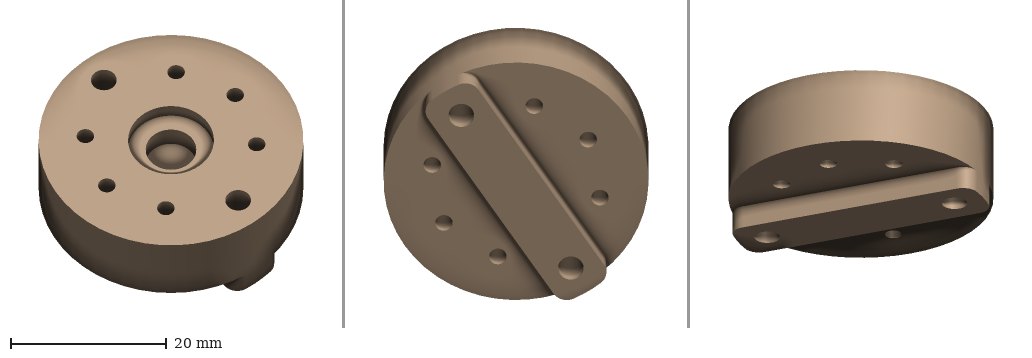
import cadquery as cq
import math

disc_diameter = 34.0
disc_height = 10.05

key_width = 7.7
key_height = 3.03
key_corner_radius = 2.0

counterbore_diameter = 11.0
counterbore_depth = 2.0
bore_diameter = 6.5
bore_depth = 5.0

small_hole_diameter = 2.25
small_hole_circle_radius = 11.0
small_hole_angles = [45, 90, 135, 225, 270, 315]

large_hole_diameter = 3.3
large_hole_offset = 13.0


def make_cylinder():
    """Full-height cylinder with its seam turned to the -X side."""
    total_height = disc_height + key_height
    cylinder = cq.Workplane("XY").workplane(offset=-key_height)
    cylinder = cylinder.circle(disc_diameter / 2).extrude(total_height)
    return cylinder.rotate((0, 0, 0), (0, 0, 1), 180)


def make_key_relief():
    """Material around the key, removed from below the disc to leave the key standing.

    Each corner arc is tangent to the key's flat side and to the disc rim.
    """
    rim_radius = disc_diameter / 2
    arc_center_y = key_width / 2 - key_corner_radius
    center_distance = rim_radius - key_corner_radius
    arc_center_x = math.sqrt(center_distance**2 - arc_center_y**2)
    rim_x = rim_radius * arc_center_x / center_distance
    rim_y = rim_radius * arc_center_y / center_distance

    middle_angle = (math.atan2(arc_center_y, arc_center_x) + math.pi / 2) / 2
    middle_x = arc_center_x + key_corner_radius * math.cos(middle_angle)
    middle_y = arc_center_y + key_corner_radius * math.sin(middle_angle)

    side = (
        cq.Workplane("XY")
        .moveTo(-arc_center_x, key_width / 2)
        .lineTo(arc_center_x, key_width / 2)
        .threePointArc((middle_x, middle_y), (rim_x, rim_y))
        .lineTo(disc_diameter, rim_y)
        .lineTo(disc_diameter, disc_diameter)
        .lineTo(-disc_diameter, disc_diameter)
        .lineTo(-disc_diameter, rim_y)
        .lineTo(-rim_x, rim_y)
        .threePointArc((-middle_x, middle_y), (-arc_center_x, key_width / 2))
        .close()
        .extrude(-key_height)
    )
    return side.union(side.mirror("XZ"))


def top_pocket(diameter, depth):
    """Cylinder that reaches the given depth below the top face."""
    return cq.Workplane("XY").workplane(offset=disc_height).circle(diameter / 2).extrude(-depth)


def through_hole(diameter, radius, angle):
    """Cylinder through the disc and key, at a polar position about Z."""
    hole = cq.Workplane("XY").workplane(offset=-key_height).center(radius, 0)
    hole = hole.circle(diameter / 2).extrude(key_height + disc_height)
    return hole.rotate((0, 0, 0), (0, 0, 1), angle)


result = make_cylinder().cut(make_key_relief())

result = result.cut(top_pocket(counterbore_diameter, counterbore_depth))
result = result.cut(top_pocket(bore_diameter, bore_depth))

for angle in small_hole_angles:
    result = result.cut(through_hole(small_hole_diameter, small_hole_circle_radius, angle))

for angle in [0, 180]:
    result = result.cut(through_hole(large_hole_diameter, large_hole_offset, angle))